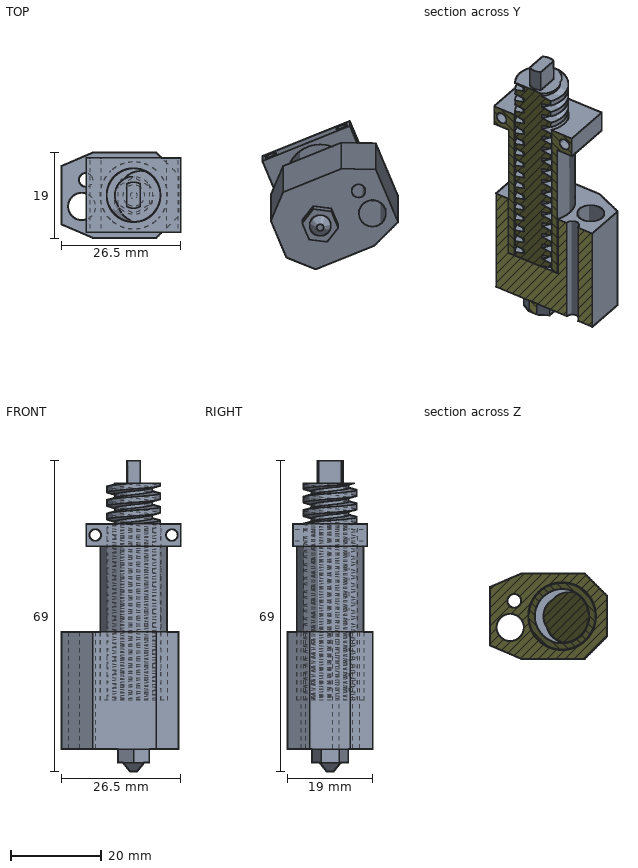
import cadquery as cq
import math


block_height = 26.0
block_left = -16.0
block_right = 10.0
block_half_width = 9.5
left_taper_x = -9.0
left_end_half_width = 6.5
right_chamfer = 5.0
heater_bore_diameter = 6.0
heater_bore_position = (-11.5, -2.5)
sensor_bore_diameter = 3.0
sensor_bore_position = (-10.6, 3.4)
socket_diameter = 15.0
socket_depth = 15.0
socket_floor = block_height - socket_depth

barrel_diameter = 14.85
barrel_bore_diameter = 12.0
barrel_exposed_length = 19.0
flange_length = 21.0
flange_width = 16.5
flange_thickness = 5.0
flange_hole_diameter = 2.53
flange_hole_spacing = 17.0
barrel_length = socket_depth + barrel_exposed_length + flange_thickness
barrel_top = socket_floor + barrel_length

screw_diameter = 11.88
screw_root_diameter = 8.32
screw_exposed_length = 9.0
thread_pitch = 3.0
thread_root_width = 0.8
thread_flank_angle = 15.0
thread_root_overlap = 0.16
groove_rise = 1.6
drive_tang_diameter = 5.8
drive_tang_thickness = 3.0
drive_tang_length = 5.0
screw_length = barrel_length + screw_exposed_length
screw_top = socket_floor + screw_length

nozzle_hex_across_flats = 7.0
nozzle_hex_height = 3.0
nozzle_cone_height = 2.0
nozzle_cone_diameter = 4.74
nozzle_tip_diameter = 1.5


def make_block():
    right_end_half_width = block_half_width - right_chamfer
    outline = [
        (block_left, -left_end_half_width),
        (left_taper_x, -block_half_width),
        (block_right - right_chamfer, -block_half_width),
        (block_right, -right_end_half_width),
        (block_right, right_end_half_width),
        (block_right - right_chamfer, block_half_width),
        (left_taper_x, block_half_width),
        (block_left, left_end_half_width),
    ]
    block = cq.Workplane("XY").polyline(outline).close().extrude(block_height)
    bores = [
        (heater_bore_position, heater_bore_diameter),
        (sensor_bore_position, sensor_bore_diameter),
    ]
    for position, diameter in bores:
        bore = cq.Workplane("XY").center(*position).circle(diameter / 2).extrude(block_height)
        block = block.cut(bore)
    socket = (
        cq.Workplane("XY", origin=(0, 0, socket_floor))
        .circle(socket_diameter / 2)
        .extrude(socket_depth)
    )
    return block.cut(socket)


def make_barrel():
    shaft = (
        cq.Workplane("XY", origin=(0, 0, socket_floor))
        .circle(barrel_diameter / 2)
        .extrude(barrel_length)
    )
    flange = (
        cq.Workplane("XY", origin=(0, 0, barrel_top - flange_thickness))
        .rect(flange_length, flange_width)
        .extrude(flange_thickness)
    )
    bore = (
        cq.Workplane("XY", origin=(0, 0, socket_floor))
        .circle(barrel_bore_diameter / 2)
        .extrude(barrel_length)
    )
    flange_holes = (
        cq.Workplane("XZ", origin=(0, 0, barrel_top - flange_thickness / 2))
        .rarray(flange_hole_spacing, 1, 2, 1)
        .circle(flange_hole_diameter / 2)
        .extrude(flange_width / 2, both=True)
    )
    return shaft.union(flange).cut(bore).cut(flange_holes)


def make_thread():
    """Right-handed trapezoidal thread, trimmed square at both ends of the screw."""
    turns_below = math.ceil(barrel_length / thread_pitch) + 2
    turns_above = math.ceil(screw_exposed_length / thread_pitch) + 1
    start_z = barrel_top + groove_rise - turns_below * thread_pitch
    helix_height = (turns_below + turns_above) * thread_pitch

    root_radius = screw_root_diameter / 2
    inner_radius = root_radius - thread_root_overlap
    crest_radius = screw_diameter / 2
    flank_slope = math.tan(math.radians(thread_flank_angle))
    inner_gap = thread_root_width / 2 - thread_root_overlap * flank_slope
    crest_gap = thread_root_width / 2 + (crest_radius - root_radius) * flank_slope

    helix = cq.Wire.makeHelix(thread_pitch, helix_height, inner_radius, center=cq.Vector(0, 0, start_z))
    ridge = (
        cq.Workplane("XZ", origin=(0, 0, start_z))
        .polyline([
            (inner_radius, inner_gap),
            (crest_radius, crest_gap),
            (crest_radius, thread_pitch - crest_gap),
            (inner_radius, thread_pitch - inner_gap),
        ])
        .close()
        .sweep(cq.Workplane(helix), isFrenet=True)
    )
    screw_extent = (
        cq.Workplane("XY", origin=(0, 0, socket_floor))
        .rect(2 * screw_diameter, 2 * screw_diameter)
        .extrude(screw_length)
    )
    return ridge.intersect(screw_extent)


def make_screw():
    core = (
        cq.Workplane("XY", origin=(0, 0, socket_floor))
        .circle(screw_root_diameter / 2)
        .extrude(screw_length)
    )
    tang_round = (
        cq.Workplane("XY", origin=(0, 0, screw_top))
        .circle(drive_tang_diameter / 2)
        .extrude(drive_tang_length)
    )
    tang_flats = (
        cq.Workplane("XY", origin=(0, 0, screw_top))
        .rect(drive_tang_thickness, drive_tang_diameter)
        .extrude(drive_tang_length)
    )
    return core.union(make_thread()).union(tang_round.intersect(tang_flats))


def make_nozzle():
    across_corners = nozzle_hex_across_flats / math.cos(math.pi / 6)
    hexagon = (
        cq.Workplane("XY")
        .polygon(6, across_corners)
        .extrude(-nozzle_hex_height)
        .rotate((0, 0, 0), (0, 0, 1), 30)
    )
    cone = (
        cq.Workplane("XY", origin=(0, 0, -nozzle_hex_height))
        .circle(nozzle_cone_diameter / 2)
        .workplane(offset=-nozzle_cone_height)
        .circle(nozzle_tip_diameter / 2)
        .loft(ruled=True)
    )
    return hexagon.union(cone)


block = make_block()
barrel = make_barrel()
screw = make_screw()
nozzle = make_nozzle()

result = cq.Compound.makeCompound([block.val(), barrel.val(), screw.val(), nozzle.val()])